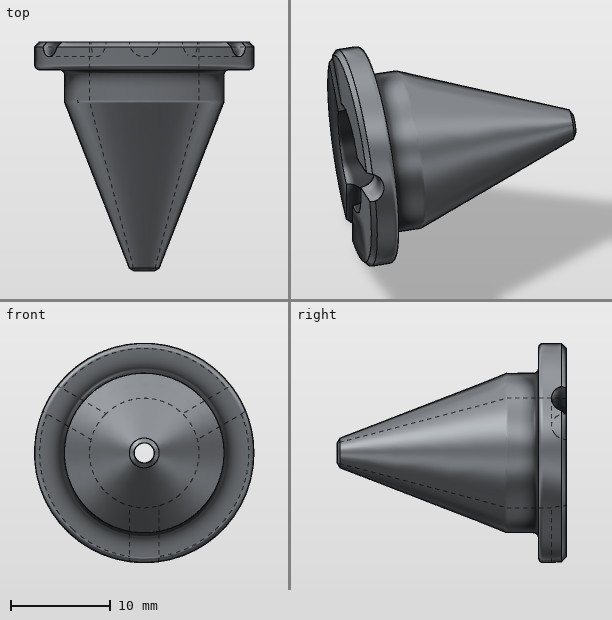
import cadquery as cq

length = 23.0
flange_diameter = 22.0
flange_thickness = 2.8
neck_diameter = 16.0
shoulder_depth = 6.0
tip_diameter = 3.0
tip_chamfer_length = 0.3
outlet_diameter = 2.0
socket_diameter = 11.0
edge_size = 0.5
notch_radius = 1.5
notch_angles = (30, 150, 270)

rear_y = length / 2
front_y = rear_y - length
flange_front_y = rear_y - flange_thickness
shoulder_y = rear_y - shoulder_depth
flange_radius = flange_diameter / 2
neck_radius = neck_diameter / 2
tip_radius = tip_diameter / 2
outlet_radius = outlet_diameter / 2
socket_radius = socket_diameter / 2


def revolve_about_y(points):
    """Turn a half profile of (radius, y) points into a solid of revolution."""
    return cq.Workplane("XY").polyline(points).close().revolve(360, (0, 0, 0), (0, 1, 0))


def make_body():
    """Solid outside: rounded flange, root and shoulder, chamfered rear rim, chamfered tip."""
    body = revolve_about_y([
        (0, rear_y),
        (flange_radius, rear_y),
        (flange_radius, flange_front_y),
        (neck_radius, flange_front_y),
        (neck_radius, shoulder_y),
        (tip_radius, front_y + tip_chamfer_length),
        (outlet_radius, front_y),
        (0, front_y),
    ])
    rear_half = cq.selectors.BoxSelector(
        (-flange_radius, 0, -flange_radius), (flange_radius, rear_y, flange_radius)
    )
    body = body.edges("%CIRCLE and (not >Y)").edges(rear_half).fillet(edge_size)
    return body.faces(">Y").edges().chamfer(edge_size)


def make_bore():
    """Straight socket from the rear face to the shoulder, then a cone down to the outlet."""
    return revolve_about_y([
        (0, rear_y),
        (socket_radius, rear_y),
        (socket_radius, shoulder_y),
        (outlet_radius, front_y),
        (0, front_y),
    ])


def make_notch(angle):
    """Cylinder along a radius of the rear face; it cuts a half-round groove from bore to rim."""
    groove = cq.Workplane("YZ").center(rear_y, 0).circle(notch_radius).extrude(flange_diameter)
    return groove.rotate((0, 0, 0), (0, 1, 0), -angle)


result = make_body().cut(make_bore())
for notch_angle in notch_angles:
    result = result.cut(make_notch(notch_angle))